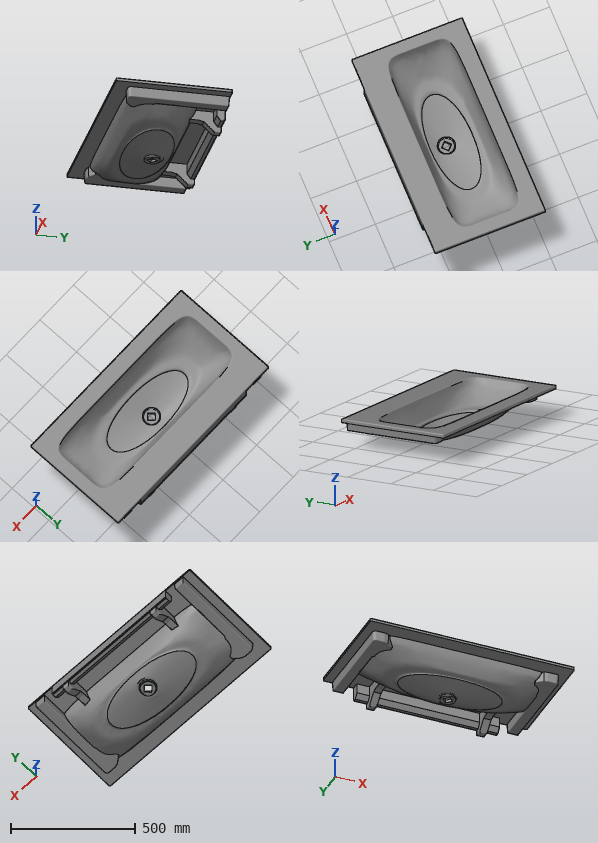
import cadquery as cq
import math

LENGTH = 895.0
DEPTH = 480.0
SLAB_THICKNESS = 14.0
SLAB_CORNER_RADIUS = 4.5
SLAB_EDGE_RADIUS = 4.5
BACK_Y = DEPTH / 2

TOTAL_HEIGHT = 128.0
DRAIN_Y = 10.0
DRAIN_RECESS_RADIUS = 37.0
DRAIN_RECESS_FLOOR_Z = -115.5
DRAIN_RING_RADIUS = 32.0
DRAIN_RING_HEIGHT = 18.0
DRAIN_HOLE_HALF_DIAGONAL = 21.5

BOWL_WALL = 8.0
BOWL_FLOOR = 10.0
RIM_RADIUS = 4.5
RIM_SEARCH_HEIGHT = 1.0
OUTLINE_POINTS = 32

BOWL_LEVELS = [
    (0.0, 395.0, -170.0, 125.0, 8.0),
    (-13.0, 387.0, -166.5, 121.0, 7.0),
    (-31.0, 371.0, -163.0, 115.0, 5.5),
    (-49.0, 345.5, -152.0, 106.0, 4.2),
    (-72.0, 306.0, -136.0, 95.0, 3.2),
    (-85.0, 264.0, -118.0, 87.0, 2.5),
    (-93.0, 217.0, -103.0, 80.0, 2.1),
    (-110.0, 38.0, -28.0, 47.0, 2.0),
]
FLOOR_EDGE_Z = BOWL_LEVELS[-2][0]

SKIRT_HALF_SPAN = 408.0
SKIRT_BOTTOM_Z = -57.0
SKIRT_MIDDLE_Z = (SKIRT_BOTTOM_Z - SLAB_THICKNESS) / 2
SKIRT_FRONT_Y = -181.0
SKIRT_BACK_INSET = 4.0
SKIRT_BACK_Y = BACK_Y - SKIRT_BACK_INSET
SKIRT_THICKNESS = 49.0
SKIRT_TAPER = 3.5
SKIRT_CORNER_RADIUS = 13.0
SKIRT_EDGE_RADIUS = 4.0

WING_LENGTH = 97.0
WING_BEND_LENGTH = 18.0
WING_BEND_SETBACK = 5.0
WING_TIP_SETBACK = 29.0
WING_INNER_SETBACK = 72.0
WING_ROOT_SETBACK = 125.0

BACK_WALL_HALF_LENGTH = 313.0
BACK_WALL_BOTTOM_Z = -79.0
BACK_WALL_FOOT = 15.0
BACK_WALL_THICKNESS = 31.0
BACK_LIP_BOTTOM_Z = -72.5

BRACKET_OUTER_X = 258.0
BRACKET_WIDTH = 32.0
BRACKET_BOTTOM_Z = -105.0
BRACKET_FOOT_FRONT_Y = 208.5
BRACKET_SLOPE_TOP_Y = 165.0
BRACKET_SLOPE_TOP_Z = -63.0
BRACKET_SHOULDER_Y = 143.0
BRACKET_FRONT_Y = 103.0
BRACKET_EDGE_RADIUS = 6.0


def bowl_outline(z, half_length, front_y, back_y, squareness):
    """Closed superellipse outline lying at height z."""
    half_depth = (back_y - front_y) / 2
    middle_y = (back_y + front_y) / 2
    points = []
    for i in range(OUTLINE_POINTS):
        angle = 2 * math.pi * i / OUTLINE_POINTS
        c = math.cos(angle)
        s = math.sin(angle)
        reach = (abs(c) ** squareness + abs(s) ** squareness) ** (-1 / squareness)
        points.append(cq.Vector(half_length * reach * c, middle_y + half_depth * reach * s, z))
    even_steps = range(OUTLINE_POINTS + 1)
    return cq.Wire.assembleEdges([cq.Edge.makeSpline(points, periodic=True, parameters=even_steps)])


def bowl_solid(sideways, down):
    """Bowl volume, grown outwards and moved down by the given allowances."""
    outlines = [
        bowl_outline(z - down, half_length + sideways, front_y - sideways, back_y + sideways, squareness)
        for z, half_length, front_y, back_y, squareness in BOWL_LEVELS
    ]
    walls = cq.Solid.makeLoft(outlines[:-1])
    floor = cq.Solid.makeLoft(outlines[-2:], True)
    return cq.Workplane(obj=walls).union(cq.Workplane(obj=floor))


def slab():
    return (
        cq.Workplane("XY")
        .box(LENGTH, DEPTH, SLAB_THICKNESS, centered=(True, True, False))
        .translate((0, 0, -SLAB_THICKNESS))
        .edges("|Z").fillet(SLAB_CORNER_RADIUS)
        .faces(">Z").edges().fillet(SLAB_EDGE_RADIUS)
    )


def skirt():
    """Skirt at the +X end, with a short wing wrapping round the bowl's front corner."""
    inner_x = SKIRT_HALF_SPAN - SKIRT_THICKNESS
    wing_x = SKIRT_HALF_SPAN - WING_LENGTH
    outline = [
        (SKIRT_HALF_SPAN, SKIRT_BACK_Y),
        (SKIRT_HALF_SPAN, SKIRT_FRONT_Y),
        (inner_x, SKIRT_FRONT_Y),
        (inner_x - WING_BEND_LENGTH, SKIRT_FRONT_Y + WING_BEND_SETBACK),
        (wing_x, SKIRT_FRONT_Y + WING_TIP_SETBACK),
        (wing_x, SKIRT_FRONT_Y + WING_INNER_SETBACK),
        (inner_x, SKIRT_FRONT_Y + WING_ROOT_SETBACK),
        (inner_x, SKIRT_BACK_Y),
    ]
    front_corner = cq.selectors.NearestToPointSelector((SKIRT_HALF_SPAN, SKIRT_FRONT_Y, SKIRT_MIDDLE_Z))
    return (
        cq.Workplane("XY", origin=(0, 0, -SLAB_THICKNESS))
        .polyline(outline).close()
        .extrude(SKIRT_BOTTOM_Z + SLAB_THICKNESS, taper=SKIRT_TAPER)
        .edges(front_corner).fillet(SKIRT_CORNER_RADIUS)
        .faces("<Z").edges().fillet(SKIRT_EDGE_RADIUS)
    )


def back_wall():
    """Wall under the back of the slab, with a thin lip flush with the slab's back edge."""
    front_y = SKIRT_BACK_Y - BACK_WALL_THICKNESS
    foot_y = SKIRT_BACK_Y - BACK_WALL_FOOT
    profile = [
        (SKIRT_BACK_Y, -SLAB_THICKNESS),
        (SKIRT_BACK_Y, BACK_WALL_BOTTOM_Z),
        (foot_y, BACK_WALL_BOTTOM_Z),
        (front_y, SKIRT_BOTTOM_Z),
        (front_y, -SLAB_THICKNESS),
    ]
    wall = (
        cq.Workplane("YZ")
        .polyline(profile).close()
        .extrude(BACK_WALL_HALF_LENGTH, both=True)
    )
    lip_height = -BACK_LIP_BOTTOM_Z - SLAB_THICKNESS
    lip = (
        cq.Workplane("XY")
        .box(2 * BACK_WALL_HALF_LENGTH, SKIRT_BACK_INSET, lip_height, centered=(True, False, False))
        .translate((0, SKIRT_BACK_Y, BACK_LIP_BOTTOM_Z))
    )
    return wall.union(lip)


def bracket():
    """Wall bracket on the +X side, sloping up from its foot to the back of the bowl."""
    profile = [
        (SKIRT_BACK_Y, -SLAB_THICKNESS),
        (SKIRT_BACK_Y, BRACKET_BOTTOM_Z),
        (BRACKET_FOOT_FRONT_Y, BRACKET_BOTTOM_Z),
        (BRACKET_SLOPE_TOP_Y, BRACKET_SLOPE_TOP_Z),
        (BRACKET_SHOULDER_Y, SKIRT_BOTTOM_Z),
        (BRACKET_FRONT_Y, SKIRT_BOTTOM_Z),
        (BRACKET_FRONT_Y, -SLAB_THICKNESS),
    ]
    return (
        cq.Workplane("YZ", origin=(BRACKET_OUTER_X - BRACKET_WIDTH, 0, 0))
        .polyline(profile).close()
        .extrude(BRACKET_WIDTH)
        .faces("<Z").edges().fillet(BRACKET_EDGE_RADIUS)
    )


def drain_column(radius, bottom_z, top_z):
    return cq.Workplane("XY", origin=(0, DRAIN_Y, bottom_z)).circle(radius).extrude(top_z - bottom_z)


body = slab().union(bowl_solid(BOWL_WALL, BOWL_FLOOR)).union(back_wall())
for half in (skirt(), bracket()):
    body = body.union(half).union(half.mirror("YZ"))
body = body.union(drain_column(DRAIN_RING_RADIUS, -TOTAL_HEIGHT, DRAIN_RING_HEIGHT - TOTAL_HEIGHT))

body = body.cut(bowl_solid(0, 0))
rim_edge = cq.selectors.BoxSelector(
    (-SKIRT_HALF_SPAN, SKIRT_FRONT_Y, -RIM_SEARCH_HEIGHT),
    (SKIRT_HALF_SPAN, -SKIRT_FRONT_Y, RIM_SEARCH_HEIGHT),
    boundingbox=True,
)
body = body.edges(rim_edge).fillet(RIM_RADIUS)

body = body.cut(drain_column(DRAIN_RECESS_RADIUS, DRAIN_RECESS_FLOOR_Z, FLOOR_EDGE_Z))
drain_hole = (
    cq.Workplane("XY", origin=(0, DRAIN_Y, -TOTAL_HEIGHT))
    .polygon(4, 2 * DRAIN_HOLE_HALF_DIAGONAL)
    .extrude(TOTAL_HEIGHT)
)
result = body.cut(drain_hole)